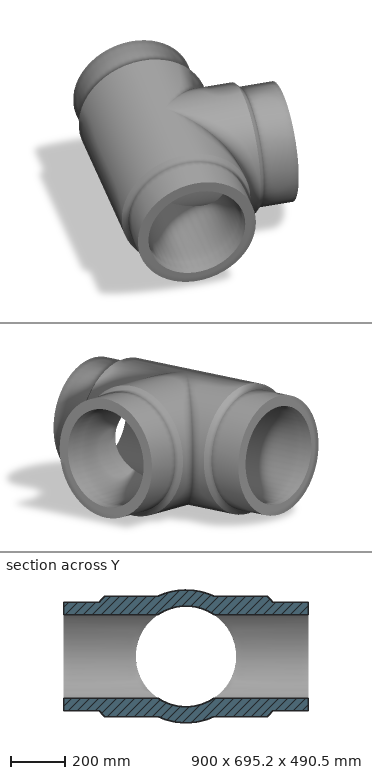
import cadquery as cq

run_length = 900.0
branch_reach = run_length / 2
body_diameter = 490.5
spigot_diameter = 450.0
bore_diameter = 369.0
spigot_length = 130.5
chamfer = (body_diameter - spigot_diameter) / 2

body_reach = branch_reach - spigot_length

left_plane = cq.Plane(origin=(0, 0, 0), xDir=(0, 1, 0), normal=(-1, 0, 0))
right_plane = cq.Plane(origin=(0, 0, 0), xDir=(0, 1, 0), normal=(1, 0, 0))
branch_plane = cq.Plane(origin=(0, 0, 0), xDir=(1, 0, 0), normal=(0, 1, 0))


def cylinder(plane, diameter, length):
    """Solid cylinder from the tee centre outward along the plane normal."""
    return cq.Workplane(plane).circle(diameter / 2).extrude(length)


def arm(plane):
    """Thick body with a chamfered shoulder and a thinner spigot."""
    body = cylinder(plane, body_diameter, body_reach)
    body = body.faces(cq.selectors.DirectionMinMaxSelector(plane.zDir, True)).chamfer(chamfer)
    return body.union(cylinder(plane, spigot_diameter, branch_reach))


run = arm(left_plane).union(arm(right_plane))
outside = run.union(arm(branch_plane))

run_bore = cylinder(left_plane, bore_diameter, branch_reach).union(
    cylinder(right_plane, bore_diameter, branch_reach)
)
branch_bore = cylinder(branch_plane, bore_diameter, branch_reach)

result = outside.cut(run_bore).cut(branch_bore).clean()